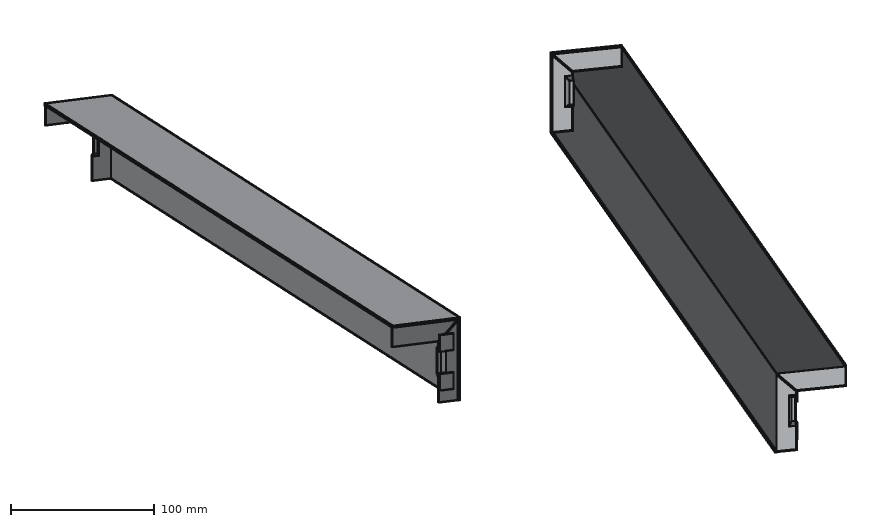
import cadquery as cq

overall_length = 602.0
width = 51.0
height = 60.0
sheet = 1.5
pad_height = 1.0
body_length = overall_length - pad_height

flange_depth = 15.5
flange_inset = 0.3
mitre_gap = 0.5

joggle_drop = 31.0
joggle_length = 24.0
joggle_floor_length = 18.0
joggle_depth = 3.0
joggle_width = 5.5

pad_drops = (17.0, 45.0)
pad_length = 12.0
pad_width = 10.0

left = -overall_length / 2
right = left + body_length
middle = (left + right) / 2
front = -width / 2
back = width / 2
top = height / 2
bottom = -height / 2
flange_edge = back - flange_depth


def box(x0, x1, y0, y1, z0, z1):
    """Box between two opposite corners."""
    return cq.Workplane("XY").box(x1 - x0, y1 - y0, z1 - z0, centered=False).translate((x0, y0, z0))


def angle_shell():
    """Top plate and back wall, with end flanges set slightly inside their ends."""
    plate = box(left, right, front, back, top - sheet, top)
    wall = box(left, right, back - sheet, back, bottom, top)
    shell = plate.union(wall)
    for x_outer, inward in ((left + flange_inset, sheet), (right - flange_inset, -sheet)):
        x_low = min(x_outer, x_outer + inward)
        x_high = x_low + sheet
        shell = shell.union(box(x_low, x_high, front, back - sheet, top - flange_depth, top - sheet))
        shell = shell.union(box(x_low, x_high, flange_edge, back - sheet, bottom, top - sheet))
    return shell


def mitre_slit():
    """Diagonal slit parting the upper flanges from the upright ones."""
    y_start = back - sheet
    z_start = top - sheet
    y_end = flange_edge - mitre_gap
    z_end = top - flange_depth - mitre_gap
    slit = (
        cq.Workplane("YZ")
        .moveTo(y_start, z_start)
        .lineTo(y_end, z_end)
        .lineTo(y_end, z_end - mitre_gap)
        .lineTo(y_start, z_start - mitre_gap)
        .close()
        .extrude(overall_length)
    )
    return slit.translate((left, 0, 0))


def joggle_form(offset):
    """Tapered press shape at the -X end, shifted inward by offset along X."""
    mouth_y = flange_edge + joggle_width
    floor_y = flange_edge + joggle_width / 2
    z_center = top - joggle_drop
    mouth = (flange_edge + mouth_y) / 2
    floor = (flange_edge + floor_y) / 2
    return (
        cq.Workplane("YZ", origin=(left + offset, 0, 0))
        .center(mouth, z_center)
        .rect(mouth_y - flange_edge, joggle_length)
        .workplane(offset=joggle_depth)
        .center(floor - mouth, 0)
        .rect(floor_y - flange_edge, joggle_floor_length)
        .loft(ruled=True)
    )


def add_joggles(part):
    """Press the same joggle into both upright flanges."""
    raised = joggle_form(sheet)
    hollow = joggle_form(0)
    mirror_origin = (middle, 0, 0)
    for is_mirrored in (False, True):
        skin = raised.mirror("YZ", mirror_origin) if is_mirrored else raised
        cavity = hollow.mirror("YZ", mirror_origin) if is_mirrored else hollow
        part = part.union(skin).cut(cavity)
    return part


def add_pads(part):
    """Place the raised pads flush with the free edge of the +X flange."""
    for drop in pad_drops:
        z_low = top - drop - pad_length / 2
        y_high = flange_edge + pad_width
        pad = box(right - sheet, right + pad_height, flange_edge, y_high, z_low, z_low + pad_length)
        part = part.union(pad)
    return part


result = add_pads(add_joggles(angle_shell().cut(mitre_slit())))